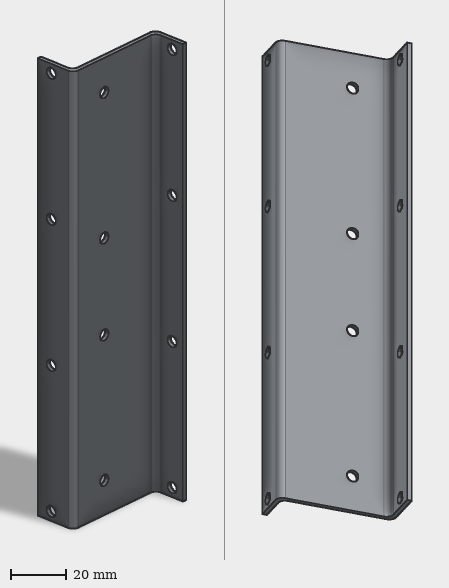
import cadquery as cq

width = 31.2
depth = 46.0
height = 185.5

thickness = 1.9
bend_radius = 2.6
front_flange_width = 17.6

hole_diameter = 4.5
front_hole_inset = 6.7
back_hole_inset = 5.4
flange_hole_end_gap = 3.9
flange_hole_count = 4
web_hole_depth = 16.7
web_hole_end_gap = 14.0
web_hole_middle_pitch = 39.3

web_right = front_flange_width
web_left = web_right - thickness
back_flange_front = depth - thickness
flange_hole_pitch = (height - 2 * flange_hole_end_gap) / (flange_hole_count - 1)


def bent_sheet():
    """Extruded Z section with rounded bends."""
    outline = [
        (0, 0),
        (web_right, 0),
        (web_right, back_flange_front),
        (width, back_flange_front),
        (width, depth),
        (web_left, depth),
        (web_left, thickness),
        (0, thickness),
    ]
    sheet = cq.Workplane("XY").polyline(outline).close().extrude(height)
    bend_corners = [
        (web_right, 0),
        (web_right, back_flange_front),
        (web_left, depth),
        (web_left, thickness),
    ]
    for x, y in bend_corners:
        corner = cq.selectors.NearestToPointSelector((x, y, height / 2))
        sheet = sheet.edges("|Z").edges(corner).fillet(bend_radius)
    return sheet


def flange_holes():
    """Cutters along Y through both flanges."""
    hole_xs = (front_hole_inset, width - back_hole_inset)
    levels = [flange_hole_end_gap + i * flange_hole_pitch for i in range(flange_hole_count)]
    centers = [(x, z) for x in hole_xs for z in levels]
    return cq.Workplane("XZ").pushPoints(centers).circle(hole_diameter / 2).extrude(-depth)


def web_holes():
    """Cutters along X through the web, mirrored about mid height."""
    middle = height / 2
    offsets = (web_hole_middle_pitch / 2, middle - web_hole_end_gap)
    centers = [(web_hole_depth, middle + side * offset) for offset in offsets for side in (-1, 1)]
    return cq.Workplane("YZ").pushPoints(centers).circle(hole_diameter / 2).extrude(width)


result = bent_sheet().cut(flange_holes()).cut(web_holes())